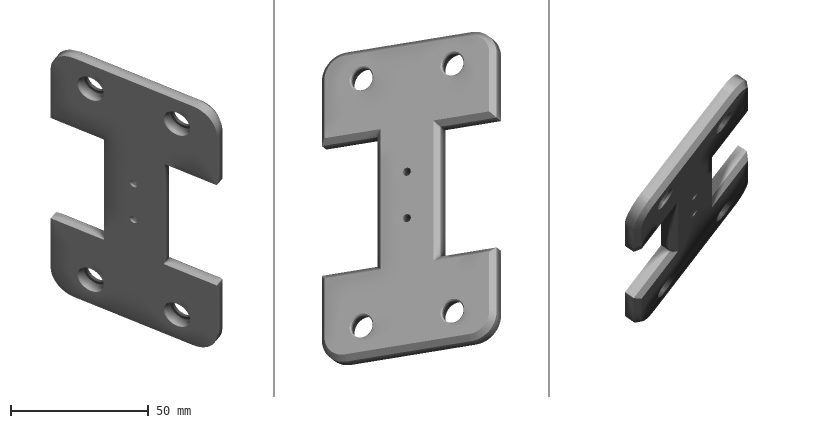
import cadquery as cq

height = 120.0
width = 70.0
thickness = 6.0
corner_radius = 10.0
rear_chamfer = 2.0

waist_width = 25.2
notch_height = 50.4

mount_spacing_x = 36.4
mount_spacing_z = 96.0
mount_diameter = 8.5
counterbore_diameter = 11.0
counterbore_depth = 4.5
mount_rear_chamfer = 0.5

pin_spacing = 18.0
pin_diameter = 3.1


def make_plate():
    """I-shaped plate with its front face at Y = 0 and its rear rim chamfered."""
    plate = cq.Workplane("XY").box(width, thickness, height, centered=(True, False, True))
    plate = plate.edges("|Y").fillet(corner_radius)
    notch_depth = (width - waist_width) / 2
    for side in (-1, 1):
        notch = cq.Workplane("XY").box(
            notch_depth, thickness, notch_height, centered=(True, False, True)
        )
        plate = plate.cut(notch.translate((side * (width - notch_depth) / 2, 0, 0)))
    return plate.faces(">Y").edges().chamfer(rear_chamfer)


def front_drill(points, diameter, depth):
    """Cylinders running from the front face toward +Y at the given (x, z) points."""
    return cq.Workplane("XZ").pushPoints(points).circle(diameter / 2).extrude(-depth)


def rear_countersink(point):
    """45-degree cone that widens a mounting hole at the rear face."""
    bore_radius = mount_diameter / 2
    cone = cq.Solid.makeCone(
        bore_radius,
        bore_radius + mount_rear_chamfer,
        mount_rear_chamfer,
        pnt=cq.Vector(point[0], thickness - mount_rear_chamfer, point[1]),
        dir=cq.Vector(0, 1, 0),
    )
    return cq.Workplane(cone)


mount_points = [
    (x * mount_spacing_x / 2, z * mount_spacing_z / 2) for x in (-1, 1) for z in (-1, 1)
]
pin_points = [(0, -pin_spacing / 2), (0, pin_spacing / 2)]

result = (
    make_plate()
    .cut(front_drill(mount_points, mount_diameter, thickness))
    .cut(front_drill(mount_points, counterbore_diameter, counterbore_depth))
    .cut(front_drill(pin_points, pin_diameter, thickness))
)

for mount_point in mount_points:
    result = result.cut(rear_countersink(mount_point))